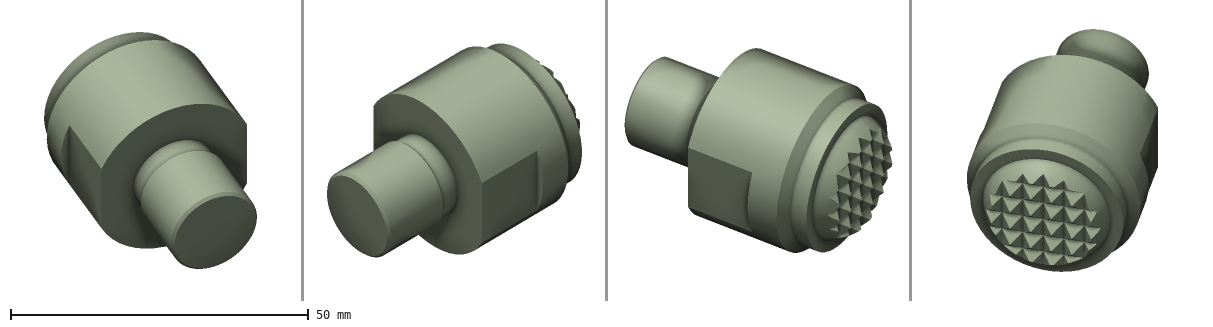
import cadquery as cq
import math


collar_face_x = 4.05
shoulder_x = 7.0
flats_start_x = 14.45
holder_back_x = 27.0
stud_start_x = 30.27
overall_length = 43.0

holder_diameter = 30.0
collar_diameter = 26.5
across_flats = 27.0

neck_diameter = 15.0
stud_diameter = 16.0
stud_chamfer = (stud_diameter - neck_diameter) / 2

ball_radius = 12.0
ball_center_x = 8.5
groove_pitch = 3.55
groove_depth = groove_pitch / 2
groove_steps_each_side = 2


def revolve_about_axis(profile):
    """Turn a closed profile a full revolution about the X axis."""
    return profile.close().revolve(360, (0, 0, 0), (1, 0, 0))


def make_ball_blank():
    """Ball with a flat front face at x = 0, also used to form the matching socket."""
    face_radius = math.sqrt(ball_radius**2 - ball_center_x**2)
    profile = (
        cq.Workplane("XZ")
        .lineTo(0, face_radius)
        .threePointArc((ball_center_x, ball_radius), (ball_center_x + ball_radius, 0))
    )
    return revolve_about_axis(profile)


def make_stepped_shaft():
    """Collar, shoulder, holder barrel, neck and stud turned in one profile."""
    holder_radius = holder_diameter / 2
    collar_radius = collar_diameter / 2
    neck_radius = neck_diameter / 2
    stud_radius = stud_diameter / 2
    shoulder_length = holder_radius - collar_radius
    outline = [
        (collar_face_x, 0),
        (collar_face_x, collar_radius),
        (shoulder_x, collar_radius),
        (shoulder_x + shoulder_length, holder_radius),
        (holder_back_x, holder_radius),
        (holder_back_x, neck_radius),
        (stud_start_x, neck_radius),
        (stud_start_x + stud_chamfer, stud_radius),
        (overall_length - stud_chamfer, stud_radius),
        (overall_length, neck_radius),
        (overall_length, 0),
    ]
    return revolve_about_axis(cq.Workplane("XZ").polyline(outline))


def cut_wrench_flats(shaft):
    """Two parallel flats facing -Y and +Y, open at the back of the barrel."""
    flats_length = holder_back_x - flats_start_x
    flat_depth = (holder_diameter - across_flats) / 2
    for side in (-1, 1):
        cutter = (
            cq.Workplane("XY")
            .box(flats_length, flat_depth, holder_diameter)
            .translate((
                flats_start_x + flats_length / 2,
                side * (across_flats + flat_depth) / 2,
                0,
            ))
        )
        shaft = shaft.cut(cutter)
    return shaft


def make_holder():
    """Holder with wrench flats and a spherical socket."""
    return cut_wrench_flats(make_stepped_shaft()).cut(make_ball_blank())


def make_groove(offset):
    """V groove running along Z, centred at the given Y offset."""
    half_width = groove_pitch / 2
    return (
        cq.Workplane("XY")
        .polyline([
            (0, offset - half_width),
            (groove_depth, offset),
            (0, offset + half_width),
        ])
        .close()
        .extrude(ball_radius, both=True)
    )


def make_serrated_ball():
    """Ball whose flat face is cut into pyramids by two crossing sets of grooves."""
    ball = make_ball_blank()
    for step in range(-groove_steps_each_side, groove_steps_each_side + 1):
        groove = make_groove(step * groove_pitch)
        ball = ball.cut(groove)
        ball = ball.cut(groove.rotate((0, 0, 0), (1, 0, 0), 90))
    return ball


holder = make_holder()
serrated_ball = make_serrated_ball()

result = cq.Compound.makeCompound([*holder.solids().vals(), *serrated_ball.solids().vals()])